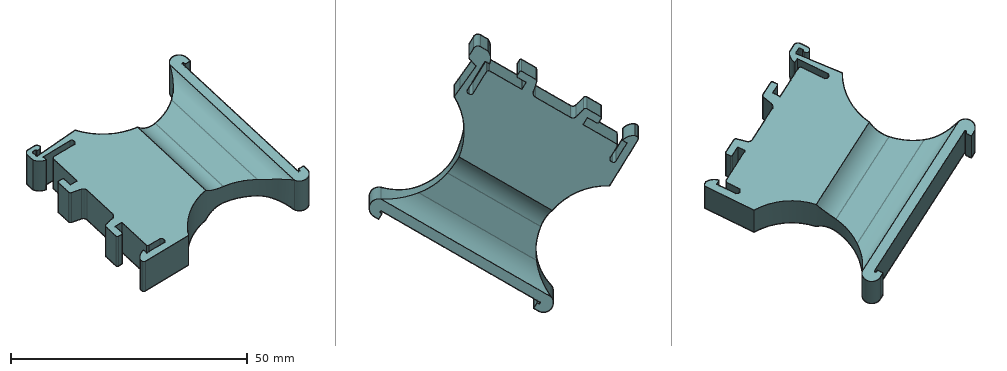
import cadquery as cq
import math

width = 44.6
length = 43.5
thickness = 9.5
half_width = width / 2

waist_half = 11.3
waist_y = 25.4
waist_radius = 15.0
waist_center_x = waist_half + waist_radius
end_radius = 2.1
end_center_x = half_width - end_radius
end_center_y = length - end_radius

rail_floor_y = 41.65
lip_half_gap = 19.05
lip_bottom_y = 42.05
lip_undercut = 0.55

body_half = 19.1
body_bottom_y = 3.55
body_corner = 0.35
shoulder_y = waist_y - math.sqrt(waist_radius**2 - (waist_center_x - body_half) ** 2)

slot_inner = 16.05
slot_outer = 17.45
slot_radius = 0.55
left_slot_top_y = 10.12
arm_root_y = left_slot_top_y
right_slot_top_y = 7.45

barb_tip = 16.35
barb_top_y = 2.27
barb_tip_y = 2.1
barb_bottom = 18.05
barb_bulge = (17.05, 0.8)
arm_tip_radius = 0.55

taper_start_x = -18.95
hook_outer = -21.0
hook_side_top_y = 2.85
hook_corner = 1.05
hook_top_radius = 0.85
pocket_radius = 0.22
lip_top = (-20.2, 3.6)
lip_right = (-19.6, 2.8)
lip_bulge = (-19.7, 3.35)
lip_step_y = 2.3
pocket_left = -19.95
pocket_floor_y = 1.3
taper_end = (-18.38, pocket_floor_y)
web_thickness = 1.1
web_arm_y = 4.15

left_foot_step = 7.65
right_foot_step = 7.4
foot_outer = 10.05
foot_top_y = 1.8
foot_bottom_y = 0.2
foot_bottom_inner = 5.9
foot_root_inner = 5.1
foot_edge_radius = 0.3
foot_heel_radius = 0.55
foot_root_radius = 1.0

hollow_start_y = 23.05
hollow_end_y = 39.43
hollow_depth = 2.15
hollow_run = 4.75
hollow_radius = (hollow_run**2 + hollow_depth**2) / (2 * hollow_depth)


def extrude(profile, height=thickness):
    return profile.close().extrude(height)


def make_main_plate():
    """Half outline with waist, rail end and lip, mirrored about x = 0."""
    reach = waist_radius + end_radius
    blend_x = waist_center_x - (waist_center_x - end_center_x) * waist_radius / reach
    blend_y = waist_y + (end_center_y - waist_y) * waist_radius / reach
    half = extrude(
        cq.Workplane("XY")
        .moveTo(0, body_bottom_y)
        .lineTo(slot_inner - body_corner, body_bottom_y)
        .lineTo(slot_inner, body_bottom_y + body_corner)
        .lineTo(slot_inner, arm_root_y)
        .lineTo(body_half, arm_root_y)
        .lineTo(body_half, shoulder_y)
        .threePointArc((waist_half, waist_y), (blend_x, blend_y))
        .threePointArc((half_width, end_center_y), (end_center_x, length))
        .lineTo(lip_half_gap, length)
        .lineTo(lip_half_gap, lip_bottom_y)
        .lineTo(lip_half_gap + lip_undercut, lip_bottom_y)
        .lineTo(lip_half_gap + lip_undercut, rail_floor_y)
        .lineTo(0, rail_floor_y)
    )
    return half.union(half.mirror("YZ"))


def make_right_arm():
    """Straight arm with a barb facing the body."""
    return extrude(
        cq.Workplane("XY")
        .moveTo(slot_inner, arm_root_y)
        .lineTo(slot_inner, right_slot_top_y - slot_radius)
        .radiusArc((slot_inner + slot_radius, right_slot_top_y), slot_radius)
        .lineTo(slot_outer - slot_radius, right_slot_top_y)
        .radiusArc((slot_outer, right_slot_top_y - slot_radius), slot_radius)
        .lineTo(slot_outer, barb_top_y)
        .lineTo(barb_tip, barb_top_y)
        .lineTo(barb_tip, barb_tip_y)
        .threePointArc(barb_bulge, (barb_bottom, 0))
        .lineTo(body_half - arm_tip_radius, 0)
        .radiusArc((body_half, arm_tip_radius), -arm_tip_radius)
        .lineTo(body_half, arm_root_y)
    )


def make_left_arm():
    """Tapered arm with a barb on its inner side and a hook on its outer side."""
    arm = extrude(
        cq.Workplane("XY")
        .moveTo(taper_start_x, arm_root_y)
        .lineTo(*taper_end)
        .lineTo(pocket_left, pocket_floor_y)
        .lineTo(pocket_left, lip_step_y)
        .lineTo(lip_right[0], lip_step_y)
        .lineTo(*lip_right)
        .threePointArc(lip_bulge, lip_top)
        .radiusArc((hook_outer, hook_side_top_y), -hook_top_radius)
        .lineTo(hook_outer, hook_corner)
        .radiusArc((hook_outer + hook_corner, 0), -hook_corner)
        .lineTo(-barb_bottom, 0)
        .threePointArc((-barb_bulge[0], barb_bulge[1]), (-barb_tip, barb_tip_y))
        .lineTo(-barb_tip, barb_top_y)
        .lineTo(-slot_outer, barb_top_y)
        .lineTo(-slot_outer, left_slot_top_y - slot_radius)
        .radiusArc((-slot_outer + slot_radius, left_slot_top_y), slot_radius)
    )
    for corner_x in (pocket_left, taper_end[0]):
        corner = (corner_x, pocket_floor_y, thickness / 2)
        arm = arm.edges(cq.selectors.NearestToPointSelector(corner)).fillet(pocket_radius)
    return arm


def make_shoulder_relief():
    """Sliver removed above the left arm, where the side first leans inward."""
    return extrude(
        cq.Workplane("XY").polyline(
            [(-body_half, shoulder_y), (taper_start_x, arm_root_y), (-body_half, arm_root_y)]
        )
    )


def make_left_slot_corner():
    """Rounded inner corner at the top of the left slot."""
    return extrude(
        cq.Workplane("XY")
        .moveTo(-slot_inner, left_slot_top_y)
        .lineTo(-slot_inner - slot_radius, left_slot_top_y)
        .radiusArc((-slot_inner, left_slot_top_y - slot_radius), slot_radius)
    )


def make_hook_web():
    """Thin floor closing the hook at the lower face."""
    taper_slope = (taper_end[0] - taper_start_x) / (arm_root_y - taper_end[1])
    web_arm_x = taper_start_x + taper_slope * (arm_root_y - web_arm_y)
    return extrude(
        cq.Workplane("XY")
        .moveTo(*lip_top)
        .lineTo(web_arm_x, web_arm_y)
        .lineTo(*taper_end)
        .lineTo(pocket_left, pocket_floor_y),
        web_thickness,
    )


def make_foot(step_x):
    """Right-hand foot whose neck ends at step_x, with rounded lower corners."""
    foot = extrude(
        cq.Workplane("XY").polyline(
            [
                (step_x, body_bottom_y),
                (step_x, foot_top_y),
                (foot_outer, foot_top_y),
                (foot_outer, foot_bottom_y),
                (foot_bottom_inner, foot_bottom_y),
                (foot_root_inner, body_bottom_y),
            ]
        )
    )
    foot = foot.edges("|Z and >X").fillet(foot_edge_radius)
    bottom_corner = cq.selectors.NearestToPointSelector(
        (foot_bottom_inner, foot_bottom_y, thickness / 2)
    )
    return foot.edges(bottom_corner).fillet(foot_heel_radius)


def round_foot_roots(body):
    for side in (-1, 1):
        root = (side * foot_root_inner, body_bottom_y, thickness / 2)
        body = body.edges(cq.selectors.NearestToPointSelector(root)).fillet(foot_root_radius)
    return body


def make_hollow():
    """Cutter for the upper face: flat floor with a tangent arc at each end."""
    floor_z = thickness - hollow_depth
    return (
        cq.Workplane("YZ")
        .moveTo(hollow_start_y, thickness)
        .radiusArc((hollow_start_y + hollow_run, floor_z), -hollow_radius)
        .lineTo(hollow_end_y - hollow_run, floor_z)
        .radiusArc((hollow_end_y, thickness), -hollow_radius)
        .close()
        .extrude(half_width, both=True)
    )


right_foot = make_foot(right_foot_step)
left_foot = make_foot(left_foot_step).mirror("YZ")
plate = make_main_plate().cut(make_shoulder_relief()).union(right_foot).union(left_foot)
plate = round_foot_roots(plate)
for part in (make_right_arm(), make_left_arm(), make_left_slot_corner(), make_hook_web()):
    plate = plate.union(part)
hollow = make_hollow()
lower_hollow = hollow.mirror("XY", (0, 0, thickness / 2))
result = plate.cut(hollow).cut(lower_hollow)